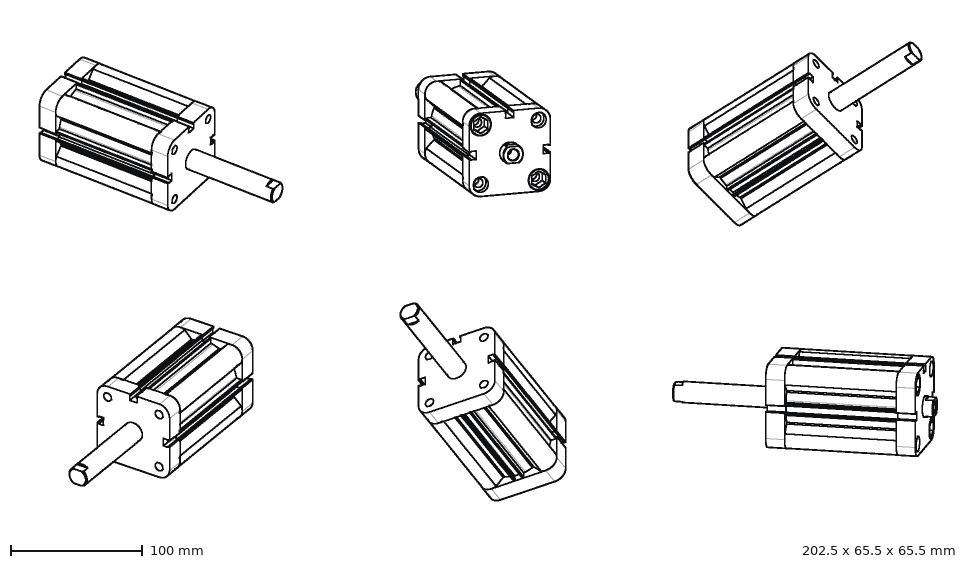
import cadquery as cq
import math

ROD_LENGTH = 202.5
ROD_DIAMETER = 16.2
FLAT_SPACING = 13.0
FRONT_FLAT_LENGTH = 6.0
REAR_FLAT_LENGTH = 6.7
FRONT_ROD_CHAMFER = 0.5
REAR_ROD_CHAMFER = 0.8
ROD_HOLE_DIAMETER = 8.5
ROD_COUNTERSINK = 0.5
ROD_HOLE_DEPTH = 16.2
DRILL_POINT_ANGLE = 118.0

FRONT_CAP_X = 8.0
BARREL_X = 22.9
REAR_CAP_X = 109.8
REAR_CAP_END_X = 124.5

CAP_SIZE = 65.5
SCREW_OFFSET = 23.3
CAP_CORNER_RADIUS = CAP_SIZE / 2 - SCREW_OFFSET
SCREW_HOLE_DIAMETER = 6.9
COUNTERBORE_DIAMETER = 12.0
COUNTERBORE_DEPTH = 5.0
SCREW_HEAD_DIAMETER = 15.8
HEAD_RECESS_DIAMETER = 16.6
HEAD_RECESS_DEPTH = 5.0
HEX_WIDTH = 11.1
HEX_DEPTH = 8.0

BARREL_SIZE = 65.2
COLUMN_RADIUS = BARREL_SIZE / 2 - SCREW_OFFSET
TUBE_RADIUS = 28.0
CHANNEL_FLOOR = 25.3
CHANNEL_CORNER = 13.2
COLUMN_EDGE = 19.2
LEDGE_WIDTH = 11.7
RIB_WIDTH = 9.0
RIB_FOOT = 27.7
RIB_TOP = 32.0
RIB_BEVEL = 0.6

SLOT_MOUTH = 5.5
SLOT_WIDTH = 6.7
SLOT_LIP = 1.5
CAP_SLOT_DEPTH = 5.7
BARREL_SLOT_DEPTH = 5.0

SLOT_SIDES = (0, 90, 270)
ALL_SIDES = (0, 90, 180, 270)
ALL_CORNERS = [(y * SCREW_OFFSET, z * SCREW_OFFSET) for y in (-1, 1) for z in (-1, 1)]
SCREW_HEAD_CORNERS = [(SCREW_OFFSET, SCREW_OFFSET), (-SCREW_OFFSET, -SCREW_OFFSET)]
COUNTERBORE_CORNERS = [(SCREW_OFFSET, -SCREW_OFFSET), (-SCREW_OFFSET, SCREW_OFFSET)]


def section(x):
    """Plane across the rod axis: local x is Y, local y is Z, extrusions go toward +X."""
    return cq.Workplane("YZ", origin=(x, 0, 0))


def turned(shape, angle):
    """Shape turned about the rod axis."""
    return shape.rotate((0, 0, 0), (1, 0, 0), angle)


def cylinders(x, length, centres, diameter):
    """Round cutters along X at the given (Y, Z) centres."""
    return section(x).pushPoints(centres).circle(diameter / 2).extrude(length)


def sensor_slot(x, length, depth):
    """T-slot cutter open at the top of the square section."""
    top = CAP_SIZE / 2
    mouth = section(x).center(0, top - depth / 2).rect(SLOT_MOUTH, depth).extrude(length)
    wide_height = depth - SLOT_LIP
    wide = section(x).center(0, top - depth + wide_height / 2).rect(SLOT_WIDTH, wide_height).extrude(length)
    return mouth.union(wide)


def cap_blank(x, length):
    """Rounded square block with the rod bore, screw holes and sensor slots."""
    cap = section(x).rect(CAP_SIZE, CAP_SIZE).extrude(length).edges("|X").fillet(CAP_CORNER_RADIUS)
    cap = cap.cut(cylinders(x, length, [(0, 0)], ROD_DIAMETER))
    cap = cap.cut(cylinders(x, length, ALL_CORNERS, SCREW_HOLE_DIAMETER))
    for angle in SLOT_SIDES:
        cap = cap.cut(turned(sensor_slot(x, length, CAP_SLOT_DEPTH), angle))
    return cap


def make_front_cap():
    """Front cap with two round counterbores and two hexagon-socket screw heads."""
    face = section(FRONT_CAP_X)
    cap = cap_blank(FRONT_CAP_X, BARREL_X - FRONT_CAP_X)
    cap = cap.cut(cylinders(FRONT_CAP_X, COUNTERBORE_DEPTH, COUNTERBORE_CORNERS, COUNTERBORE_DIAMETER))
    for y, z in SCREW_HEAD_CORNERS:
        gap = (
            face.center(y, z)
            .circle(HEAD_RECESS_DIAMETER / 2)
            .circle(SCREW_HEAD_DIAMETER / 2)
            .extrude(HEAD_RECESS_DEPTH)
        )
        socket = face.center(y, z).polygon(6, HEX_WIDTH / math.cos(math.pi / 6)).extrude(HEX_DEPTH)
        socket = socket.rotate((0, y, z), (1, y, z), 90)
        cap = cap.cut(gap).cut(socket)
    return cap


def barrel_outline():
    """Closed outline of the barrel: the same side and corner column, four times around."""
    half_rib = RIB_WIDTH / 2
    half_ledge = LEDGE_WIDTH / 2
    ledge_foot = math.sqrt(TUBE_RADIUS**2 - half_ledge**2)
    tube_edge = math.sqrt(TUBE_RADIUS**2 - CHANNEL_FLOOR**2)
    tube_middle = (half_ledge + tube_edge) / 2
    tube_middle_height = math.sqrt(TUBE_RADIUS**2 - tube_middle**2)
    column_side = SCREW_OFFSET + math.sqrt(COLUMN_RADIUS**2 - (SCREW_OFFSET - COLUMN_EDGE) ** 2)
    column_tip = SCREW_OFFSET + COLUMN_RADIUS / math.sqrt(2)

    outline = section(BARREL_X).moveTo(-half_rib, RIB_TOP)
    for quarter_turns in range(4):

        def at(y, z, turn=quarter_turns * math.pi / 2):
            """Point of the upper right quarter, turned clockwise into the current quarter."""
            return (
                y * math.cos(turn) + z * math.sin(turn),
                z * math.cos(turn) - y * math.sin(turn),
            )

        outline = (
            outline.lineTo(*at(half_rib, RIB_TOP))
            .lineTo(*at(half_rib, RIB_FOOT))
            .lineTo(*at(half_ledge, ledge_foot))
            .threePointArc(at(tube_middle, tube_middle_height), at(tube_edge, CHANNEL_FLOOR))
            .lineTo(*at(CHANNEL_CORNER, CHANNEL_FLOOR))
            .lineTo(*at(COLUMN_EDGE, column_side))
            .threePointArc(at(column_tip, column_tip), at(column_side, COLUMN_EDGE))
            .lineTo(*at(CHANNEL_FLOOR, CHANNEL_CORNER))
            .lineTo(*at(CHANNEL_FLOOR, tube_edge))
            .threePointArc(at(tube_middle_height, tube_middle), at(ledge_foot, half_ledge))
            .lineTo(*at(RIB_FOOT, half_rib))
            .lineTo(*at(RIB_TOP, half_rib))
        )
    return outline.close()


def mouth_bevel():
    """45 degree lead-in cutter for a slot mouth at the top of a rib."""
    bottom = SLOT_MOUTH / 2
    top = bottom + RIB_BEVEL
    return (
        section(BARREL_X)
        .polyline([(-bottom, RIB_TOP - RIB_BEVEL), (-top, RIB_TOP), (top, RIB_TOP), (bottom, RIB_TOP - RIB_BEVEL)])
        .close()
        .extrude(REAR_CAP_X - BARREL_X)
    )


def make_barrel():
    """Extruded barrel with four corner columns and a slotted rib on each side."""
    length = REAR_CAP_X - BARREL_X
    barrel = barrel_outline().extrude(length)
    for angle in ALL_SIDES:
        barrel = barrel.cut(turned(sensor_slot(BARREL_X, length, BARREL_SLOT_DEPTH), angle))
        barrel = barrel.cut(turned(mouth_bevel(), angle))
    barrel = barrel.cut(cylinders(BARREL_X, length, [(0, 0)], ROD_DIAMETER))
    return barrel.cut(cylinders(BARREL_X, length, ALL_CORNERS, SCREW_HOLE_DIAMETER))


def make_rod():
    """Through rod with wrench flats at both ends and a drilled hole in the front end."""
    rod = section(0).circle(ROD_DIAMETER / 2).extrude(ROD_LENGTH)
    rod = rod.faces("<X").chamfer(FRONT_ROD_CHAMFER).faces(">X").chamfer(REAR_ROD_CHAMFER)
    for x, length in ((0, FRONT_FLAT_LENGTH), (ROD_LENGTH - REAR_FLAT_LENGTH, REAR_FLAT_LENGTH)):
        waste = section(x).rect(ROD_DIAMETER, ROD_DIAMETER).rect(ROD_DIAMETER, FLAT_SPACING).extrude(length)
        rod = rod.cut(waste)
    radius = ROD_HOLE_DIAMETER / 2
    point = radius / math.tan(math.radians(DRILL_POINT_ANGLE / 2))
    hole = (
        cq.Workplane("XY")
        .lineTo(0, radius + ROD_COUNTERSINK)
        .lineTo(ROD_COUNTERSINK, radius)
        .lineTo(ROD_HOLE_DEPTH, radius)
        .lineTo(ROD_HOLE_DEPTH + point, 0)
        .close()
        .revolve(360, (0, 0, 0), (1, 0, 0))
    )
    return rod.cut(hole)


front_cap = make_front_cap()
barrel = make_barrel()
rear_cap = cap_blank(REAR_CAP_X, REAR_CAP_END_X - REAR_CAP_X)
rod = make_rod()

result = cq.Compound.makeCompound([front_cap.val(), barrel.val(), rear_cap.val(), rod.val()])